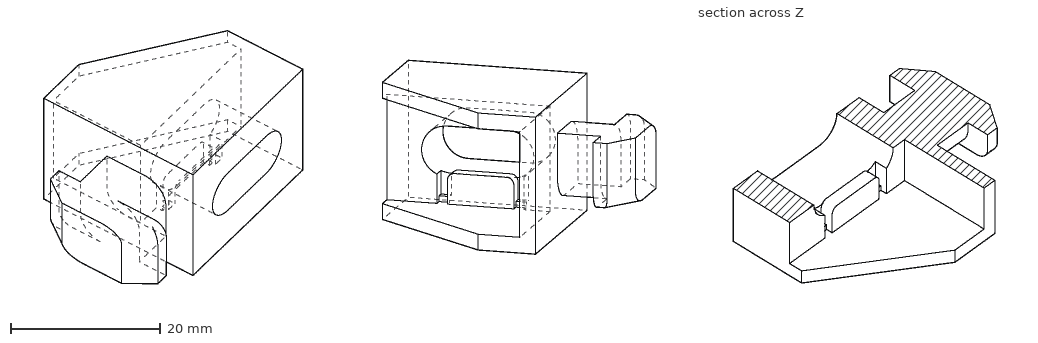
import cadquery as cq

BLOCK_X = 24.8
BLOCK_Y = 25.0
BLOCK_Z = 19.0
CORNER_CUT_X = 12.3
CORNER_CUT_Y = 17.0

WALL = 2.2
POCKET_DEPTH = 14.5

SLOT_LENGTH = 15.7
SLOT_WIDTH = 7.0
SLOT_Y = 12.3
MID_Z = BLOCK_Z / 2

RECESS_WIDTH = 12.2
RECESS_Y = 11.9
RECESS_DEPTH = 2.0
LEDGE_DEPTH = RECESS_DEPTH / 2
LEDGE_TOP_Z = 3.0
TONGUE_WIDTH = 9.3
TONGUE_TOP_Z = 6.5
TONGUE_RADIUS = 1.0

FOOT_HEIGHT = 9.4
NECK_LEFT_X = 10.5
NECK_WIDTH = 9.8
NECK_LENGTH = 6.05
NECK_RADIUS = 3.55
HEAD_WIDTH = 17.85
HEAD_LENGTH = 4.75
HEAD_STRAIGHT = 1.95
HEAD_CHAMFER_X = 3.95
HEAD_RADIUS = 2.05


def box(x_min, x_max, y_min, y_max, z_min, z_max):
    """Axis-aligned box between the given limits."""
    size = (x_max - x_min, y_max - y_min, z_max - z_min)
    return cq.Workplane("XY").box(*size, centered=False).translate((x_min, y_min, z_min))


def make_block():
    """Pentagonal block hollowed out between its top and bottom plates."""
    outline = [
        (0, 0),
        (BLOCK_X, 0),
        (BLOCK_X, BLOCK_Y),
        (CORNER_CUT_X, BLOCK_Y),
        (0, BLOCK_Y - CORNER_CUT_Y),
    ]
    block = cq.Workplane("XY").polyline(outline).close().extrude(BLOCK_Z)
    pocket = box(0, POCKET_DEPTH, WALL, BLOCK_Y, WALL, BLOCK_Z - WALL)
    return block.cut(pocket)


def make_slot():
    """Round-ended cutter through the pocket floor."""
    return (
        cq.Workplane("YZ", origin=(POCKET_DEPTH, SLOT_Y, MID_Z))
        .slot2D(SLOT_LENGTH, SLOT_WIDTH)
        .extrude(BLOCK_X - POCKET_DEPTH)
    )


def make_recess():
    """Shallow cutter from the bottom plate up into the slot, less a low ledge at its foot."""
    y_min = RECESS_Y - RECESS_WIDTH / 2
    y_max = RECESS_Y + RECESS_WIDTH / 2
    back_x = POCKET_DEPTH + RECESS_DEPTH
    recess = box(POCKET_DEPTH, back_x, y_min, y_max, WALL, MID_Z)
    ledge = box(back_x - LEDGE_DEPTH, back_x, y_min, y_max, WALL, LEDGE_TOP_Z)
    return recess.cut(ledge)


def make_tongue():
    """Tongue flush with the pocket floor, its top corners rounded."""
    y_min = RECESS_Y - TONGUE_WIDTH / 2
    y_max = RECESS_Y + TONGUE_WIDTH / 2
    back_x = POCKET_DEPTH + RECESS_DEPTH
    tongue = box(POCKET_DEPTH, back_x, y_min, y_max, WALL, TONGUE_TOP_Z)
    return tongue.edges("|X and >Z").fillet(TONGUE_RADIUS)


def make_neck():
    """Neck with two diagonally opposite edges rounded, so the foot can twist into its channel."""
    z_min = MID_Z - FOOT_HEIGHT / 2
    neck = box(NECK_LEFT_X, NECK_LEFT_X + NECK_WIDTH, -NECK_LENGTH, 0, z_min, z_min + FOOT_HEIGHT)
    neck = neck.edges("|Y and >X and >Z").fillet(NECK_RADIUS)
    return neck.edges("|Y and <X and <Z").fillet(NECK_RADIUS)


def round_head_side(head, z, side_x, tip_x):
    """Round the straight and the tapered edge on one side of the head, at height z."""
    shoulder_y = -NECK_LENGTH - HEAD_STRAIGHT
    tip_y = -NECK_LENGTH - HEAD_LENGTH
    straight_middle = (side_x, -NECK_LENGTH - HEAD_STRAIGHT / 2, z)
    taper_middle = ((side_x + tip_x) / 2, (shoulder_y + tip_y) / 2, z)
    straight_edge = cq.selectors.NearestToPointSelector(straight_middle)
    taper_edge = cq.selectors.NearestToPointSelector(taper_middle)
    return head.edges(straight_edge + taper_edge).fillet(HEAD_RADIUS)


def make_head():
    """Tapered head, flush with the +X face, rounded at the same two diagonal corners as the neck."""
    left_x = BLOCK_X - HEAD_WIDTH
    back_y = -NECK_LENGTH
    shoulder_y = back_y - HEAD_STRAIGHT
    tip_y = back_y - HEAD_LENGTH
    outline = [
        (left_x, back_y),
        (left_x, shoulder_y),
        (left_x + HEAD_CHAMFER_X, tip_y),
        (BLOCK_X - HEAD_CHAMFER_X, tip_y),
        (BLOCK_X, shoulder_y),
        (BLOCK_X, back_y),
    ]
    z_min = MID_Z - FOOT_HEIGHT / 2
    z_max = MID_Z + FOOT_HEIGHT / 2
    head = cq.Workplane("XY", origin=(0, 0, z_min)).polyline(outline).close().extrude(FOOT_HEIGHT)
    head = round_head_side(head, z_max, BLOCK_X, BLOCK_X - HEAD_CHAMFER_X)
    return round_head_side(head, z_min, left_x, left_x + HEAD_CHAMFER_X)


body = make_block().cut(make_slot()).cut(make_recess())
result = body.union(make_tongue()).union(make_neck()).union(make_head())